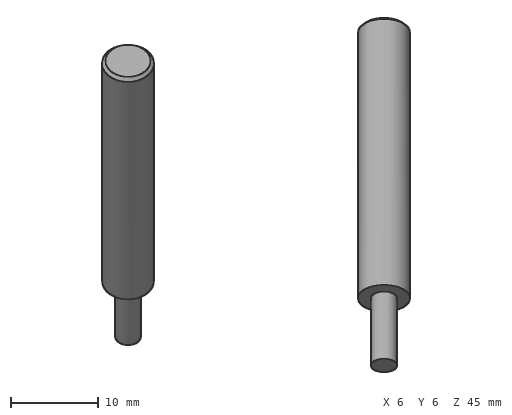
import cadquery as cq

total_length = 45.0
body_diameter = 6.0
pin_diameter = 3.0
pin_length = 9.0
top_chamfer = 0.4

body_length = total_length - pin_length


def make_body():
    """Plain round body with a chamfered top rim, resting on the pin's end face."""
    return (
        cq.Workplane("XY")
        .workplane(offset=pin_length)
        .circle(body_diameter / 2)
        .extrude(body_length)
        .faces(">Z")
        .edges()
        .chamfer(top_chamfer)
    )


def make_pin():
    """Thin round pin below the body, on the same axis."""
    return cq.Workplane("XY").circle(pin_diameter / 2).extrude(pin_length)


body = make_body()
pin = make_pin()

result = cq.Compound.makeCompound([body.val(), pin.val()])